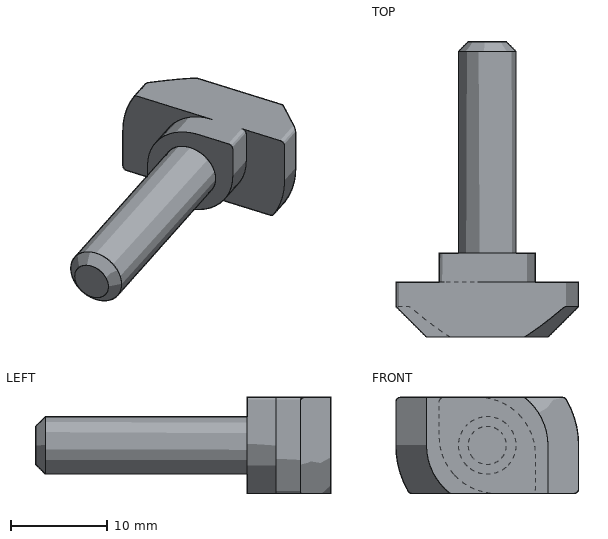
import cadquery as cq
import math

total_length = 30.7
head_length = 19.0
head_width = 10.0
head_thickness = 5.7
head_chamfer = 3.2
neck_height = 3.0
neck_arc_radius = 6.0
shaft_diameter = 6.0
shaft_chamfer = 1.0
corner_radius = 0.5

half_length = head_length / 2
half_width = head_width / 2


def prism(outline, start, height):
    """Extrude a closed XZ outline along +Y, starting at Y = start."""
    return outline.extrude(-height).translate((0, start, 0))


def half_turn_outline(half_extent, arc_start, arc_middle, arc_end):
    """Outline with two square corners and two arcs, unchanged by a half turn about Y."""
    return (
        cq.Workplane("XZ")
        .moveTo(-half_extent, half_width)
        .lineTo(*arc_start)
        .threePointArc(arc_middle, arc_end)
        .lineTo(half_extent, -half_width)
        .lineTo(-arc_start[0], -arc_start[1])
        .threePointArc((-arc_middle[0], -arc_middle[1]), (-arc_end[0], -arc_end[1]))
        .close()
    )


def quadrant(x_side, z_side):
    """Block filling one quarter of the head's bounding box."""
    block = cq.Workplane("XY").box(half_length, head_thickness, half_width)
    return block.translate((x_side * half_length / 2, head_thickness / 2, z_side * half_width / 2))


def bevel_envelope():
    """45 degree end bevels: flat on the square quadrants, conical on the round ones."""
    face_half_length = half_length - head_chamfer
    back_half_length = face_half_length + head_thickness
    half_profile = [
        (0, 0),
        (face_half_length, 0),
        (back_half_length, head_thickness),
        (0, head_thickness),
    ]
    cone = cq.Workplane("XY").polyline(half_profile).close().revolve(360, (0, 0, 0), (0, 1, 0))
    half_wedge = cq.Workplane("XY").polyline(half_profile).close().extrude(half_width, both=True)
    wedge = half_wedge.union(half_wedge.mirror("YZ"))
    square_quadrants = quadrant(-1, 1).union(quadrant(1, -1))
    return cone.union(wedge.intersect(square_quadrants))


def make_head():
    arc_angle = math.asin(half_width / half_length)
    outline = half_turn_outline(
        half_length,
        (half_length * math.cos(arc_angle), half_width),
        (half_length * math.cos(arc_angle / 2), half_length * math.sin(arc_angle / 2)),
        (half_length, 0),
    )
    body = prism(outline, 0, head_thickness)
    body = body.edges("|Y").edges(">Z or <Z").fillet(corner_radius)
    return body.intersect(bevel_envelope())


def make_neck():
    arc_centre = half_width - neck_arc_radius
    arc_middle = arc_centre + neck_arc_radius * math.sqrt(0.5)
    outline = half_turn_outline(
        half_width,
        (arc_centre, half_width),
        (arc_middle, arc_middle),
        (half_width, arc_centre),
    )
    neck = prism(outline, head_thickness, neck_height)
    return neck.edges("|Y").edges("(<X and >Z) or (>X and <Z)").fillet(corner_radius)


def make_shaft():
    outline = cq.Workplane("XZ").circle(shaft_diameter / 2)
    shaft = prism(outline, head_thickness, total_length - head_thickness)
    return shaft.faces(">Y").chamfer(shaft_chamfer)


result = make_head().union(make_neck()).union(make_shaft())